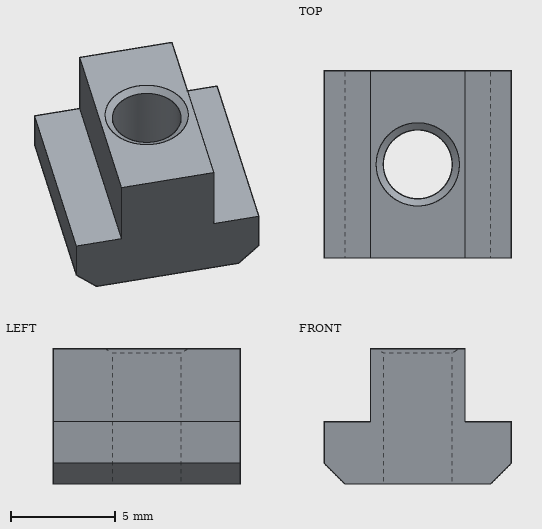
import cadquery as cq

length = 9.0
base_width = 9.0
total_height = 6.5
base_height = 3.0
neck_width = 4.55
base_chamfer = 1.0

hole_diameter = 3.3
countersink_diameter = 4.0
countersink_angle = 120.0


def t_profile_body():
    """T-shaped section extruded along Y, centred on the origin in X and Y."""
    half_base = base_width / 2
    half_neck = neck_width / 2
    right_half = [
        (0, 0),
        (half_base - base_chamfer, 0),
        (half_base, base_chamfer),
        (half_base, base_height),
        (half_neck, base_height),
        (half_neck, total_height),
        (0, total_height),
    ]
    return (
        cq.Workplane("XZ")
        .polyline(right_half)
        .mirrorY()
        .extrude(length / 2, both=True)
    )


def cut_countersunk_hole(body):
    """Countersunk hole from the neck's top face through to the bottom."""
    return (
        body.faces(">Z")
        .workplane(origin=(0, 0, total_height))
        .cskHole(hole_diameter, countersink_diameter, countersink_angle)
    )


result = cut_countersunk_hole(t_profile_body())